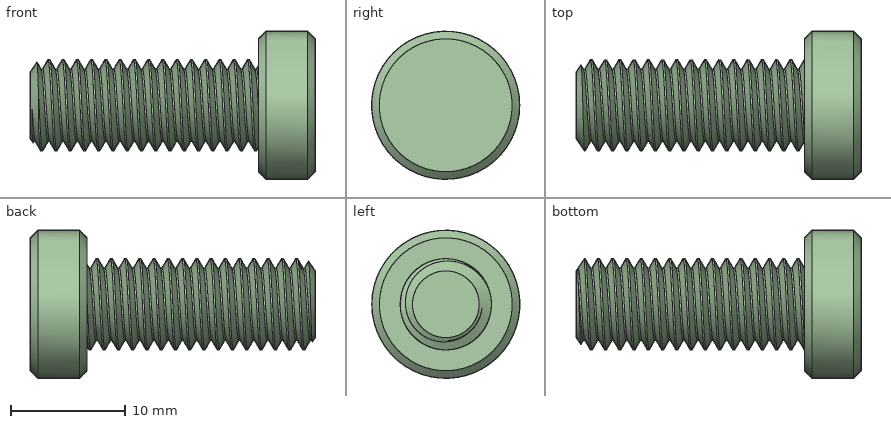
import cadquery as cq
import math

total_length = 25.0
head_diameter = 13.0
head_height = 5.0
head_chamfer = 0.68
shank_length = total_length - head_height

crest_diameter = 8.0
root_diameter = 6.38
pitch = 1.25
flank_slope = math.tan(math.radians(30))
crest_flat = pitch / 8
crest_position = -0.55

tip_chamfer_length = 0.72
tip_diameter = 5.85
tip_radius = tip_diameter / 2
tip_slope = tip_chamfer_length / (crest_diameter / 2 - tip_radius)

core_overlap = 0.05
head_overlap = 0.5

core_overrun = 4 * pitch
trim_clearance = 0.25


def make_thread():
    """Helical ridge, wound up the Z axis, then laid along X."""
    crest_radius = crest_diameter / 2
    base_radius = root_diameter / 2 - core_overlap
    crest_half_width = crest_flat / 2
    base_half_width = crest_half_width + (crest_radius - base_radius) * flank_slope
    lead_in = pitch
    run_out = 3 * pitch
    helix = cq.Wire.makeHelix(pitch, lead_in + shank_length + run_out, base_radius)
    return (
        cq.Workplane("XZ")
        .moveTo(base_radius, -base_half_width)
        .lineTo(crest_radius, -crest_half_width)
        .lineTo(crest_radius, crest_half_width)
        .lineTo(base_radius, base_half_width)
        .close()
        .sweep(cq.Workplane(obj=helix), isFrenet=True)
        .rotate((0, 0, 0), (0, 0, 1), -90)
        .rotate((0, 0, 0), (0, 1, 0), 90)
        .translate((crest_position - lead_in, 0, 0))
    )


def make_trim():
    """Coned rod wider than the crests, so only its cone and its end cut."""
    trim_length = shank_length + head_overlap
    trim_radius = crest_diameter / 2 + trim_clearance
    cone_length = (trim_radius - tip_radius) * tip_slope
    half_section = (
        cq.Workplane("XY")
        .lineTo(0, tip_radius)
        .lineTo(cone_length, trim_radius)
        .lineTo(trim_length, trim_radius)
        .lineTo(trim_length, 0)
        .close()
    )
    return half_section.revolve(360, (0, 0, 0), (1, 0, 0))


def make_shank():
    """Threaded core, trimmed to length and coned at the tip."""
    core = (
        cq.Workplane("YZ", origin=(-core_overrun, 0, 0))
        .circle(root_diameter / 2)
        .extrude(shank_length + 2 * core_overrun)
    )
    return core.union(make_thread()).intersect(make_trim())


def make_head():
    """Cylindrical head, chamfered on both rims."""
    return (
        cq.Workplane("YZ", origin=(shank_length, 0, 0))
        .circle(head_diameter / 2)
        .extrude(head_height)
        .faces("<X or >X")
        .chamfer(head_chamfer)
    )


result = make_shank().union(make_head())